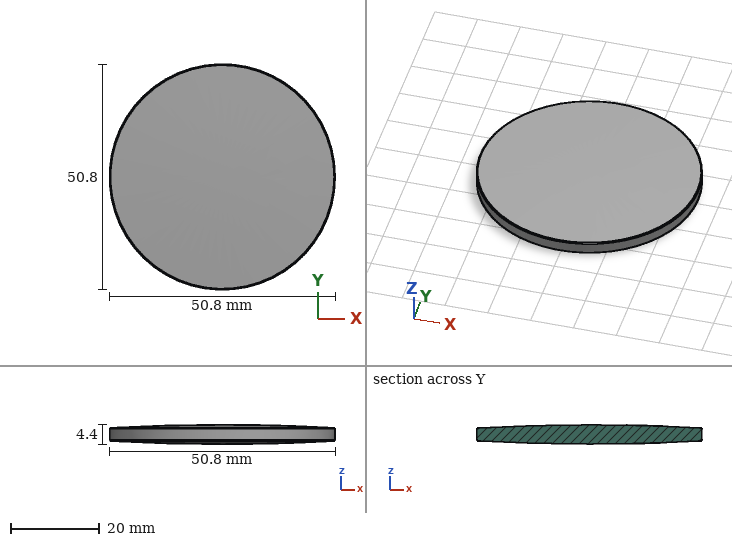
import cadquery as cq

diameter = 50.8
center_thickness = 4.4
face_sag = 0.7
bevel = 0.25

rim_radius = diameter / 2
face_radius = rim_radius - bevel
half_thickness = center_thickness / 2
face_edge_height = half_thickness - face_sag
rim_half_height = face_edge_height - bevel

sphere_radius = (face_radius**2 + face_sag**2) / (2 * face_sag)


def dome_point(radius):
    """Point on the upper face at the given distance from the axis."""
    drop = sphere_radius - (sphere_radius**2 - radius**2) ** 0.5
    return (radius, half_thickness - drop)


mid_radius, mid_height = dome_point(face_radius / 2)

section = (
    cq.Workplane("XZ")
    .moveTo(0, -half_thickness)
    .threePointArc((mid_radius, -mid_height), (face_radius, -face_edge_height))
    .lineTo(rim_radius, -rim_half_height)
    .lineTo(rim_radius, rim_half_height)
    .lineTo(face_radius, face_edge_height)
    .threePointArc((mid_radius, mid_height), (0, half_thickness))
    .close()
)

result = section.revolve(360, (0, 0), (0, 1))